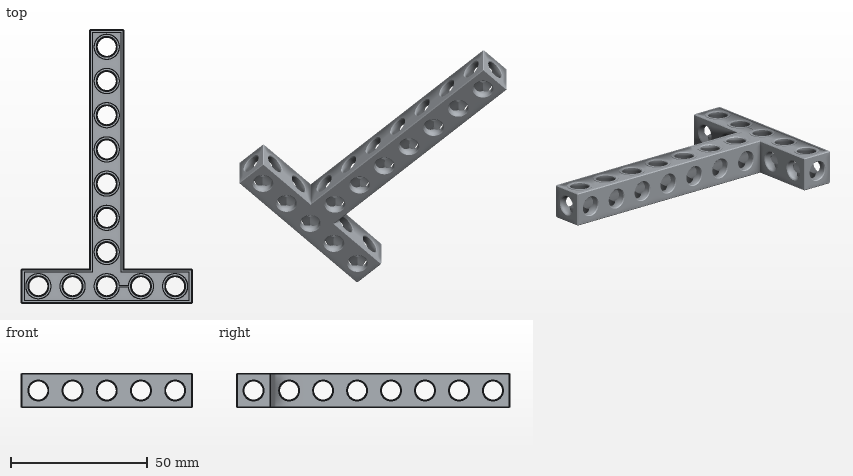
import cadquery as cq

pitch = 12.5
bar_hole_count = 5
stem_hole_count = 7
bore_diameter = 7.0
bore_chamfer = 0.3
edge_chamfer = 0.3
stem_cross_hole_shift = 0.5
rim_width = 1.1
collar_diameter = 9.2
recess_depth = 0.2
rib_width = 0.4

half_beam = pitch / 2
bar_length = bar_hole_count * pitch
stem_end = stem_hole_count * pitch + half_beam
bar_hole_xs = [(i - (bar_hole_count - 1) / 2) * pitch for i in range(bar_hole_count)]
stem_hole_ys = [(i + 1) * pitch for i in range(stem_hole_count)]
top_hole_centres = [(x, 0) for x in bar_hole_xs] + [(0, y) for y in stem_hole_ys]

first_cross_y = stem_hole_ys[0] + stem_cross_hole_shift
cross_pitch = (stem_hole_ys[-1] - first_cross_y) / (stem_hole_count - 1)
stem_cross_ys = [first_cross_y + i * cross_pitch for i in range(stem_hole_count)]


def tee_outline(workplane, inset):
    """Closed T-shaped outline, moved inwards by the inset."""
    bar_x = bar_length / 2 - inset
    bar_y = half_beam - inset
    stem_x = half_beam - inset
    stem_y = stem_end - inset
    return workplane.polyline([
        (-bar_x, -bar_y),
        (bar_x, -bar_y),
        (bar_x, bar_y),
        (stem_x, bar_y),
        (stem_x, stem_y),
        (-stem_x, stem_y),
        (-stem_x, bar_y),
        (-bar_x, bar_y),
    ]).close()


def make_body():
    """T-shaped beam with chamfered edges; only the two upright inner corners stay sharp."""
    body = tee_outline(cq.Workplane("XY").workplane(offset=-half_beam), 0).extrude(pitch)
    inner_corner_zone = cq.selectors.BoxSelector((-pitch, 0, -half_beam), (pitch, pitch, half_beam))
    outer_corners = body.edges("|Z").edges(cq.selectors.InverseSelector(inner_corner_zone))
    horizontal_edges = body.edges("#Z")
    return horizontal_edges.add(outer_corners).chamfer(edge_chamfer)


def make_recess():
    """Shallow panel in the top face, leaving a rim, a collar round each bore and one rib."""
    floor = cq.Workplane("XY").workplane(offset=half_beam - recess_depth)
    panel = tee_outline(floor, rim_width).extrude(recess_depth)
    collars = floor.pushPoints(top_hole_centres).circle(collar_diameter / 2).extrude(recess_depth)
    rib = floor.center(pitch / 2, 0).rect(pitch / 2, rib_width).extrude(recess_depth)
    return panel.cut(collars).cut(rib)


def bore(start, direction, length):
    """Cutter for a through bore with a chamfer at each mouth."""
    radius = bore_diameter / 2
    mouth_radius = radius + bore_chamfer
    profile = cq.Workplane("XZ").polyline([
        (0, 0),
        (mouth_radius, 0),
        (radius, bore_chamfer),
        (radius, length - bore_chamfer),
        (mouth_radius, length),
        (0, length),
    ]).close()
    cutter = profile.revolve(360, (0, 0), (0, 1)).val()
    return cutter.moved(cq.Location(cq.Plane(origin=start, normal=direction)))


def make_bores():
    """Cutters for all bores along the three axes."""
    along_x = (1, 0, 0)
    along_y = (0, 1, 0)
    along_z = (0, 0, 1)
    cutters = [bore((x, y, -half_beam), along_z, pitch) for x, y in top_hole_centres]
    for x in bar_hole_xs:
        length = half_beam + stem_end if x == 0 else pitch
        cutters.append(bore((x, -half_beam, 0), along_y, length))
    cutters.append(bore((-bar_length / 2, 0, 0), along_x, bar_length))
    cutters += [bore((-half_beam, y, 0), along_x, pitch) for y in stem_cross_ys]
    return cutters


result = make_body().cut(make_recess())
for cutter in make_bores():
    result = result.cut(cq.Workplane(cutter))